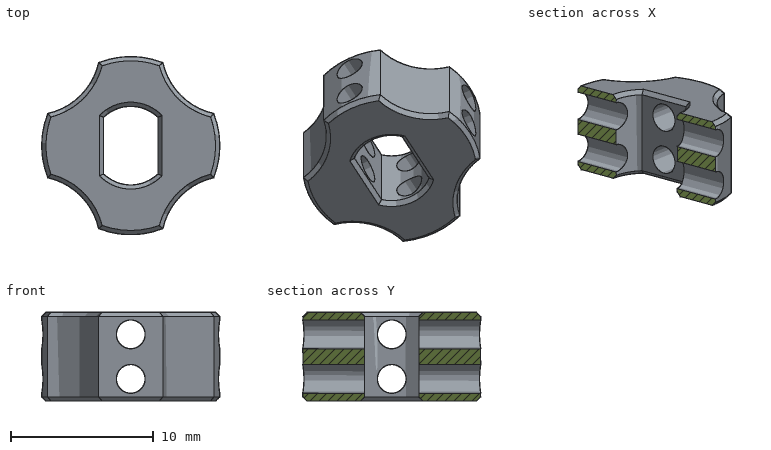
import cadquery as cq
import math

outer_diameter = 12.5
height = outer_diameter / 2
edge_chamfer = 0.3

scallop_count = 4
scallop_radius = 4.6875
lobe_width = 4.52

bore_diameter = 5.5
bore_flat_width = 3.8

cross_hole_diameter = 2.0
cross_hole_spacing = height / 2

outer_radius = outer_diameter / 2
lobe_half_angle = math.asin(lobe_width / 2 / outer_radius)
gap_half_angle = math.pi / scallop_count - lobe_half_angle
half_chord = outer_radius * math.sin(gap_half_angle)
chord_distance = outer_radius * math.cos(gap_half_angle)
scallop_distance = chord_distance + math.sqrt(scallop_radius**2 - half_chord**2)


def make_body():
    """Round body with four scallops, chamfered around both end faces."""
    body = cq.Workplane("XY").circle(outer_radius).extrude(height)
    first_angle = 180 / scallop_count
    scallops = (
        cq.Workplane("XY")
        .polarArray(scallop_distance, first_angle, 360, scallop_count)
        .circle(scallop_radius)
        .extrude(height)
    )
    return body.cut(scallops).faces("|Z").edges().chamfer(edge_chamfer)


def make_bore():
    """Double-D cutter for the full height of the body."""
    half_flat = bore_flat_width / 2
    bore_radius = bore_diameter / 2
    flat_end = math.sqrt(bore_radius**2 - half_flat**2)
    outline = (
        cq.Workplane("XY")
        .moveTo(half_flat, -flat_end)
        .lineTo(half_flat, flat_end)
        .threePointArc((0, bore_radius), (-half_flat, flat_end))
        .lineTo(-half_flat, -flat_end)
        .threePointArc((0, -bore_radius), (half_flat, -flat_end))
        .close()
    )
    return outline.extrude(height)


def make_cross_holes(plane):
    """Pair of through-hole cutters, one above the other, normal to the plane."""
    middle = height / 2
    offset = cross_hole_spacing / 2
    return (
        cq.Workplane(plane)
        .pushPoints([(0, middle - offset), (0, middle + offset)])
        .circle(cross_hole_diameter / 2)
        .extrude(outer_radius, both=True)
    )


def chamfer_bore_rims(body):
    """Chamfer the bore edges on the top and bottom faces."""
    rim_size = bore_diameter / 2 + edge_chamfer
    near_axis = cq.selectors.BoxSelector(
        (-rim_size, -rim_size, -edge_chamfer), (rim_size, rim_size, height + edge_chamfer)
    )
    return body.faces("|Z").edges(near_axis).chamfer(edge_chamfer)


result = chamfer_bore_rims(make_body().cut(make_bore()))
for hole_plane in ("XZ", "YZ"):
    result = result.cut(make_cross_holes(hole_plane))